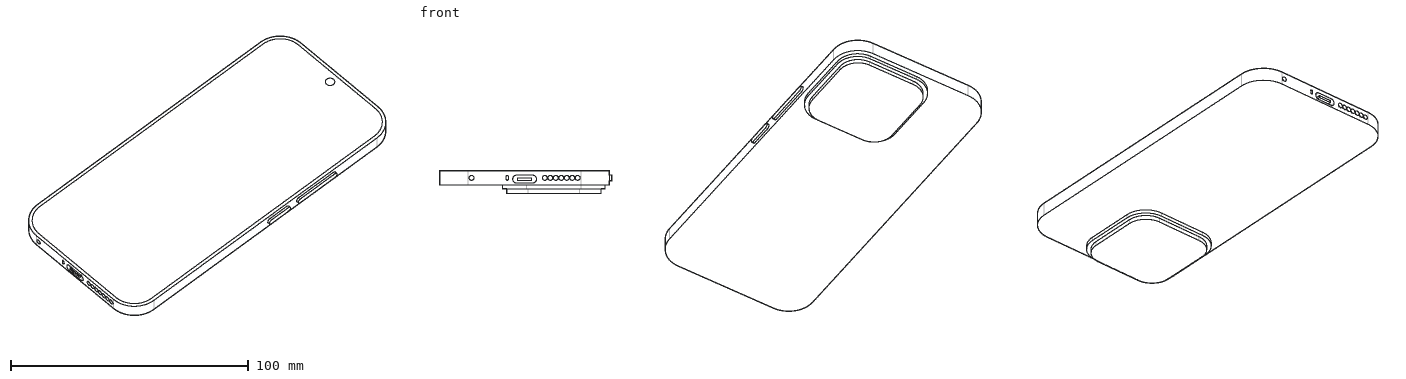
import cadquery as cq

total_width = 72.5
total_height = 9.62

frame_width = 71.5
frame_length = 152.8
frame_thickness = 6.1
corner_radius = 12.0
front_face_y = -frame_length / 2
side_face_x = frame_width / 2

bezel = 1.5
screen_width = frame_width - 2 * bezel
screen_length = frame_length - 2 * bezel
screen_radius = corner_radius - bezel
screen_thickness = 1.0
screen_bottom_z = frame_thickness - screen_thickness

lens_diameter = 4.0
lens_from_end = 5.5
lens_y = frame_length / 2 - lens_from_end

bump_size = 43.2
bump_radius = 10.2
bump_center_x = 12.3
bump_center_y = 52.9
bump_base_height = 1.6
bump_step = 1.7
bump_outer_size = bump_size - 2 * bump_step
bump_outer_radius = 9.0
bump_outer_height = total_height - frame_thickness - bump_base_height

opening_z = frame_thickness / 2
hole_depth = 2.0
hole_diameter = 2.05
grille_hole_count = 7
grille_pitch = 2.3
grille_last_x = 22.35
single_hole_x = -grille_last_x
slot_x = -7.3
slot_width = 0.9
slot_height = 2.0

port_width = 10.0
port_height = 3.3
port_radius = 1.6
port_depth = 6.0
port_drop = 0.5
port_z = opening_z - port_drop
tongue_width = 6.0
tongue_height = 1.0

button_height = 2.5
button_protrusion = total_width - frame_width
button_seat_depth = 1.0
volume_button_length = 22.4
volume_button_y = 29.3
power_button_length = 12.2
power_button_y = 7.5


def rounded_plate(width, length, radius, thickness, bottom_z):
    """A flat plate with rounded corners, centred on the Z axis."""
    plate = cq.Workplane("XY").box(width, length, thickness, centered=(True, True, False))
    return plate.edges("|Z").fillet(radius).translate((0, 0, bottom_z))


def end_plane(x, z):
    """Workplane on the -Y end face; a negative extrusion goes into the frame."""
    return cq.Workplane("XZ", origin=(x, front_face_y, z))


def make_screen_blank():
    """The full screen plate, which is also the shape of its recess in the frame."""
    return rounded_plate(screen_width, screen_length, screen_radius, screen_thickness, screen_bottom_z)


def make_front_lens():
    """The round camera lens, as deep as the screen glass."""
    plane = cq.Workplane("XY", origin=(0, lens_y, screen_bottom_z))
    return plane.circle(lens_diameter / 2).extrude(screen_thickness)


def make_button(length, y):
    """A button whose inner part sits in the +X side of the frame."""
    plane = cq.Workplane("YZ", origin=(side_face_x - button_seat_depth, y, opening_z))
    return plane.slot2D(length, button_height).extrude(button_seat_depth + button_protrusion)


def make_camera_bump():
    """The two stacked tiers under the back of the frame."""
    base_bottom_z = -bump_base_height
    outer_bottom_z = base_bottom_z - bump_outer_height
    base = rounded_plate(bump_size, bump_size, bump_radius, bump_base_height, base_bottom_z)
    outer = rounded_plate(
        bump_outer_size, bump_outer_size, bump_outer_radius, bump_outer_height, outer_bottom_z
    )
    return base.union(outer).translate((bump_center_x, bump_center_y, 0))


def make_round_hole(x):
    """Cutter for one round hole in the end face."""
    return end_plane(x, opening_z).circle(hole_diameter / 2).extrude(-hole_depth)


def make_slot():
    """Cutter for the small upright slot beside the port."""
    return end_plane(slot_x, opening_z).slot2D(slot_height, slot_width, 90).extrude(-hole_depth)


def make_port():
    """Cutter for the charging port, leaving its tongue standing."""
    opening = end_plane(0, port_z).rect(port_width, port_height).extrude(-port_depth)
    tongue = end_plane(0, port_z).rect(tongue_width, tongue_height).extrude(-port_depth)
    return opening.edges("|Y").fillet(port_radius).cut(tongue)


def make_frame(insets):
    """The frame with its camera bump, end openings and a recess for each inset body."""
    body = rounded_plate(frame_width, frame_length, corner_radius, frame_thickness, 0)
    body = body.union(make_camera_bump())
    hole_positions = [grille_last_x - index * grille_pitch for index in range(grille_hole_count)]
    hole_positions.append(single_hole_x)
    for x in hole_positions:
        body = body.cut(make_round_hole(x))
    body = body.cut(make_slot()).cut(make_port())
    for inset in insets:
        body = body.cut(inset)
    return body


screen_blank = make_screen_blank()
front_lens = make_front_lens()
screen = screen_blank.cut(front_lens)
side_buttons = [
    make_button(length, y)
    for length, y in (
        (volume_button_length, volume_button_y),
        (power_button_length, power_button_y),
    )
]
frame = make_frame([screen_blank, *side_buttons])

result = cq.Compound.makeCompound(
    [frame.val(), screen.val(), front_lens.val(), *[button.val() for button in side_buttons]]
)